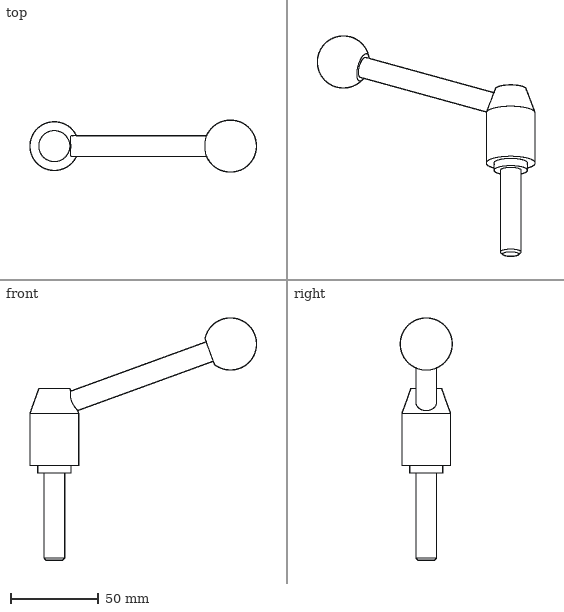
import cadquery as cq
import math

stud_diameter = 12.0
stud_length = 50.0
stud_chamfer = 1.3
collar_diameter = 19.2
collar_height = 4.3
hub_diameter = 28.0
hub_height = 29.9
cone_top_diameter = 17.8
cone_height = 14.3
arm_diameter = 12.0
arm_tilt = 20.0
ball_diameter = 30.0
ball_flat_offset = 12.6
ball_center_x = 100.9
overall_height = 139.0

ball_center_z = overall_height - ball_diameter / 2
arm_length = ball_center_x / math.cos(math.radians(arm_tilt))


def make_stud():
    stud = cq.Workplane("XY").circle(stud_diameter / 2).extrude(stud_length)
    return stud.faces("<Z").chamfer(stud_chamfer)


def make_hub():
    """Collar, cylindrical body and conical top, revolved about Z."""
    collar_top = stud_length + collar_height
    body_top = collar_top + hub_height
    cone_top = body_top + cone_height
    profile = (
        cq.Workplane("XZ")
        .moveTo(0, stud_length)
        .lineTo(collar_diameter / 2, stud_length)
        .lineTo(collar_diameter / 2, collar_top)
        .lineTo(hub_diameter / 2, collar_top)
        .lineTo(hub_diameter / 2, body_top)
        .lineTo(cone_top_diameter / 2, cone_top)
        .lineTo(0, cone_top)
        .close()
    )
    return profile.revolve(360, (0, 0), (0, 1))


def make_arm_and_ball():
    """Arm along +X ending in a flattened ball centred at the origin, then tilted into place."""
    arm = cq.Workplane("YZ", origin=(-arm_length, 0, 0)).circle(arm_diameter / 2).extrude(arm_length)
    flat_limit = cq.Workplane("XY").box(
        ball_flat_offset + ball_diameter, ball_diameter * 2, ball_diameter * 2, centered=(False, True, True)
    ).translate((-ball_flat_offset, 0, 0))
    ball = cq.Workplane("XY").sphere(ball_diameter / 2).intersect(flat_limit)
    lever = arm.union(ball).rotate((0, 0, 0), (0, 1, 0), -arm_tilt)
    return lever.translate((ball_center_x, 0, ball_center_z))


result = make_stud().union(make_hub()).union(make_arm_and_ball())